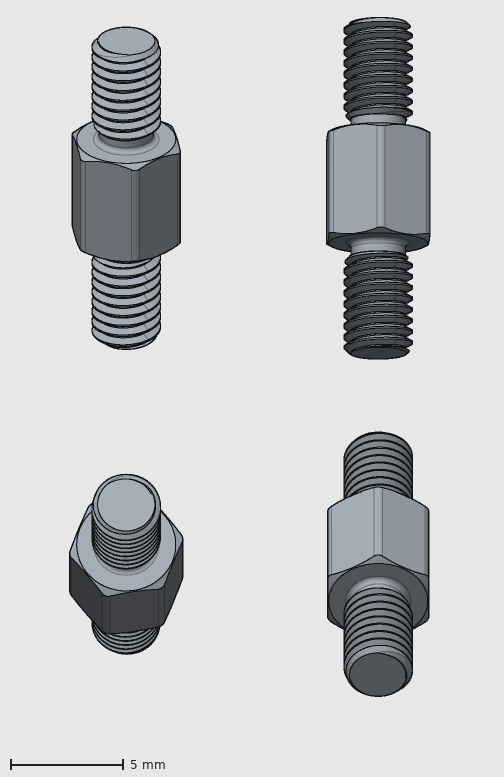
import cadquery as cq
import math

length = 15.0
hex_length = length / 3
across_flats = 4.5
hex_corner_radius = 0.36
hex_face_diameter = 4.41
hex_chamfer_angle = 30.0

neck_end = 3.12
core_radius = 1.22
neck_fillet = 0.24
crest_radius = 1.53
thread_end_radius = 1.28

pitch = length / 30
flank_angle = 30.0
root_flat = pitch / 8
envelope_margin = 0.15
upper_crest_height = 6.85
lower_crest_height = -3.6


def revolve_profile(profile):
    """Revolve a closed radius-height outline about the Z axis."""
    return profile.close().revolve(360, (0, 0, 0), (0, 1, 0))


def hex_body():
    """Hexagon with rounded corners and conically chamfered ends."""
    corner_diameter = across_flats / math.cos(math.radians(30))
    prism = (
        cq.Workplane("XY")
        .polygon(6, corner_diameter)
        .extrude(hex_length / 2, both=True)
        .rotate((0, 0, 0), (0, 0, 1), 30)
        .edges("|Z")
        .fillet(hex_corner_radius)
    )
    face_radius = hex_face_diameter / 2
    outer_radius = corner_diameter / 2
    drop = (outer_radius - face_radius) * math.tan(math.radians(hex_chamfer_angle))
    half = hex_length / 2
    envelope = revolve_profile(
        cq.Workplane("XZ")
        .moveTo(0, -half)
        .lineTo(face_radius, -half)
        .lineTo(outer_radius, drop - half)
        .lineTo(outer_radius, half - drop)
        .lineTo(face_radius, half)
        .lineTo(0, half)
    )
    return prism.intersect(envelope)


def upper_neck():
    """Plain neck with a concave fillet onto the hexagon face."""
    base = hex_length / 2
    return revolve_profile(
        cq.Workplane("XZ")
        .moveTo(0, base)
        .lineTo(core_radius + neck_fillet, base)
        .radiusArc((core_radius, base + neck_fillet), neck_fillet)
        .lineTo(core_radius, neck_end)
        .lineTo(0, neck_end)
    )


def helix_turn(radius, height):
    """One right-handed turn that starts on the +X side at the given height."""
    return cq.Wire.makeHelix(pitch, pitch, radius, cq.Vector(0, 0, height)).Edges()[0]


def helicoid(height):
    """Spiral ramp of one turn from the Z axis out to the thread root."""
    axis = cq.Edge.makeLine(cq.Vector(0, 0, height), cq.Vector(0, 0, height + pitch))
    return cq.Face.makeRuledSurface(axis, helix_turn(core_radius, height))


def half_plane_face(points):
    """Flat face through the given radius-height points in the XZ plane."""
    vectors = [cq.Vector(radius, 0, height) for radius, height in points]
    return cq.Face.makeFromWires(cq.Wire.makePolygon(vectors, close=True))


def endless_thread(start, turns):
    """Solid screw whose surface is built from one helical strip per profile side and turn."""
    flank_rise = (crest_radius - core_radius) * math.tan(math.radians(flank_angle))
    crest_flat = pitch - root_flat - 2 * flank_rise
    profile = [
        (core_radius, 0),
        (core_radius, root_flat),
        (crest_radius, root_flat + flank_rise),
        (crest_radius, root_flat + flank_rise + crest_flat),
        (core_radius, pitch),
    ]
    faces = []
    for turn in range(turns):
        base = start + turn * pitch
        for (radius_1, height_1), (radius_2, height_2) in zip(profile, profile[1:]):
            lower = helix_turn(radius_1, base + height_1)
            upper = helix_turn(radius_2, base + height_2)
            faces.append(cq.Face.makeRuledSurface(lower, upper))

    top = start + turns * pitch
    for ramp_start in (start, top):
        faces.append(helicoid(ramp_start))
        step = [(radius, ramp_start + height) for radius, height in profile]
        faces.append(half_plane_face([(0, ramp_start)] + step + [(0, ramp_start + pitch)]))
    return cq.Workplane(obj=cq.Solid.makeSolid(cq.Shell.makeShell(faces)).fix())


def thread(bottom, crest_height):
    """Threaded length starting at bottom, with a crest at crest_height on the +X side."""
    thread_length = length / 2 - neck_end
    envelope_radius = crest_radius + envelope_margin
    envelope = (
        cq.Workplane("XY", origin=(0, 0, bottom))
        .circle(envelope_radius)
        .extrude(thread_length)
        .faces("<Z or >Z")
        .chamfer(envelope_radius - thread_end_radius)
    )
    turns_down = math.ceil((crest_height - bottom) / pitch) + 1
    start = crest_height - (turns_down + 0.5) * pitch - root_flat / 2
    turns = math.ceil(thread_length / pitch) + 3
    return endless_thread(start, turns).intersect(envelope)


neck = upper_neck()
result = (
    hex_body()
    .union(neck)
    .union(neck.mirror("XY"))
    .union(thread(neck_end, upper_crest_height))
    .union(thread(-length / 2, lower_crest_height))
)